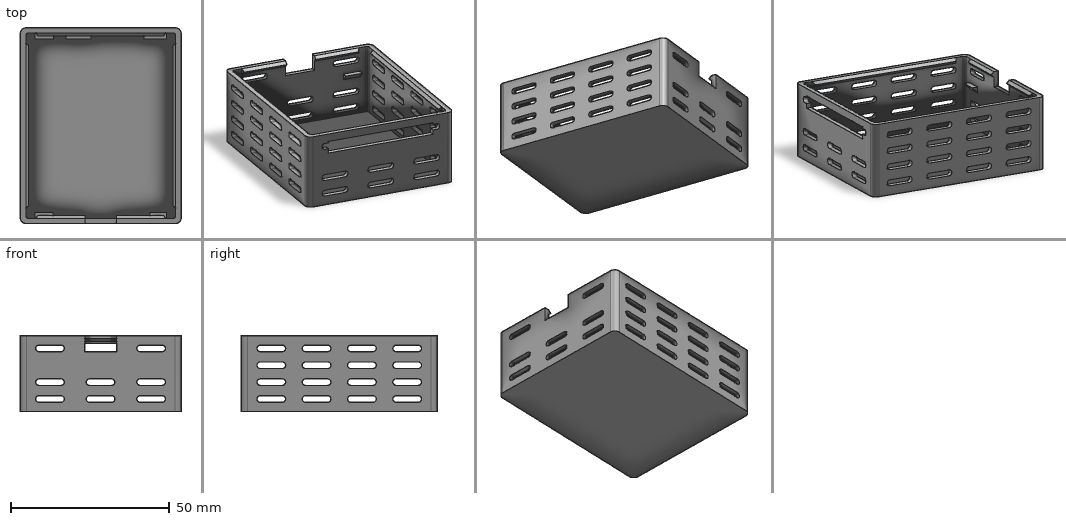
import cadquery as cq

box_x = 50.9
box_y = 61.9
box_z = 24.0
side_wall = 1.8
end_wall = 1.7
floor = 1.75
outer_radius = 2.0
inner_radius = 0.9

inner_x = box_x - 2 * side_wall
inner_y = box_y - 2 * end_wall


def spread(count, pitch, center=0.0):
    """Evenly spaced positions, symmetric about center."""
    return [center + (i - (count - 1) / 2) * pitch for i in range(count)]


slot_length = 9.0
slot_height = 2.0
slot_row_pitch = 5.3
slot_rows = spread(4, slot_row_pitch, box_z / 2)
side_slot_pitch = 14.3
side_slot_columns = spread(4, side_slot_pitch)
end_slot_pitch = 15.95
end_slot_shift = -0.05
end_slot_columns = spread(3, end_slot_pitch, end_slot_shift)

notch_width = 10.0
notch_depth = 5.0
window_width = 36.45
window_bottom = 17.5
window_top = 21.5

ridge_depth = 0.9
ridge_height = 2 * ridge_depth
ridge_end_taper = 0.6
end_ridge_length = 40.95
side_ridge_length = 51.85

tab_depth = 1.9
tab_top = 15.95
tab_outer_end = 20.8
back_tabs = [(-tab_outer_end, -14.85), (-11.0, -3.1), (13.6, tab_outer_end)]
front_tabs = [(-tab_outer_end, -15.05), (15.6, tab_outer_end)]


def make_shell():
    outer = cq.Workplane("XY").box(box_x, box_y, box_z, centered=(True, True, False))
    outer = outer.edges("|Z").fillet(outer_radius)
    cavity = cq.Workplane("XY", origin=(0, 0, floor))
    cavity = cavity.box(inner_x, inner_y, box_z, centered=(True, True, False))
    return outer.cut(cavity.edges("|Z").fillet(inner_radius))


def make_slots(plane, points, reach):
    """Horizontal slots cut symmetrically to both sides of the given plane."""
    slots = cq.Workplane(plane).pushPoints(points).slot2D(slot_length, slot_height)
    return slots.extrude(reach, both=True)


def make_ridge(length):
    """Triangular ridge along X with tapered ends, rising toward +Y from a wall at Y = 0."""
    half = length / 2
    profile = [(0, box_z), (ridge_depth, box_z - ridge_height / 2), (0, box_z - ridge_height)]
    prism = cq.Workplane("YZ").polyline(profile).close().extrude(half, both=True)
    tip = half - ridge_end_taper
    plan = [(-half, 0), (half, 0), (tip, ridge_depth), (-tip, ridge_depth)]
    return prism.intersect(cq.Workplane("XY").polyline(plan).close().extrude(box_z))


def make_tab(start, end, wall_y, inward):
    """Support tab from X = start to X = end on the end wall at wall_y."""
    profile = [(wall_y, tab_top), (wall_y + inward * tab_depth, tab_top), (wall_y, tab_top - tab_depth)]
    return cq.Workplane("YZ", origin=(start, 0, 0)).polyline(profile).close().extrude(end - start)


body = make_shell()

for turn, length, wall_offset in (
    (0, end_ridge_length, inner_y / 2),
    (90, side_ridge_length, inner_x / 2),
    (180, end_ridge_length, inner_y / 2),
    (270, side_ridge_length, inner_x / 2),
):
    ridge = make_ridge(length).translate((0, -wall_offset, 0))
    body = body.union(ridge.rotate((0, 0, 0), (0, 0, 1), turn))

for tab_start, tab_end in back_tabs:
    body = body.union(make_tab(tab_start, tab_end, inner_y / 2, -1))
for tab_start, tab_end in front_tabs:
    body = body.union(make_tab(tab_start, tab_end, -inner_y / 2, 1))

side_points = [(y, z) for y in side_slot_columns for z in slot_rows]
body = body.cut(make_slots("YZ", side_points, box_x))

end_points = [(x, z) for x in end_slot_columns for z in slot_rows[:2]]
end_points += [(x, slot_rows[3]) for x in (end_slot_columns[0], end_slot_columns[2])]
body = body.cut(make_slots("XZ", end_points, box_y))

notch = cq.Workplane("XY", origin=(0, -box_y / 2, box_z - notch_depth))
notch = notch.box(notch_width, 2 * (end_wall + ridge_depth), notch_depth, centered=(True, True, False))
body = body.cut(notch)

window = cq.Workplane("XY", origin=(0, box_y / 2, window_bottom))
window = window.box(window_width, 2 * end_wall, window_top - window_bottom, centered=(True, True, False))
body = body.cut(window)

result = body